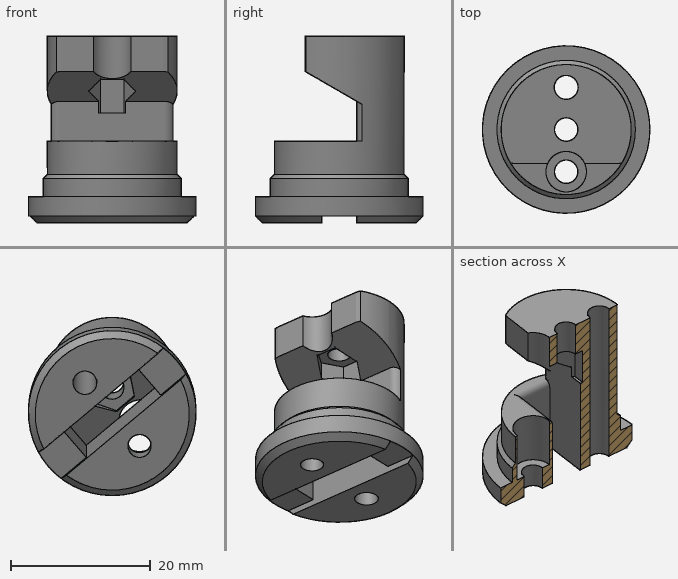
import cadquery as cq
import math

flange_radius = 12.002
flange_top = 3.75
bottom_chamfer = 1.0
collar_radius = 9.9
collar_top = 6.95
body_radius = 9.305
collar_chamfer = collar_radius - body_radius
base_top = 11.7
total_height = 26.7

head_front_y = -4.89
head_front_bottom = 21.65
underside_angle = 30.0
head_break_start_x = 7.32
head_break_end_x = 7.98
gap_half_width = 7.42
gap_corner_radius = 1.5

pocket_length = 14.0
pocket_width = 5.0
pocket_rim_radius = 1.0
slot_depth = 0.95
gap_back_y = pocket_width / 2

hole_spacing = 6.03
hole_diameter = 3.3
rear_hole_diameter = 3.4
counterbore_diameter = 5.8

nut_across_corners = 6.73
nut_bottom = 15.73
nut_top = 21.35


def cylinder(diameter, bottom, top, y=0.0):
    return cq.Workplane("XY", origin=(0, y, bottom)).circle(diameter / 2).extrude(top - bottom)


def turned_body():
    """Flange, collar and full-height cylindrical body."""
    profile = [
        (0, 0),
        (flange_radius - bottom_chamfer, 0),
        (flange_radius, bottom_chamfer),
        (flange_radius, flange_top),
        (collar_radius, flange_top),
        (collar_radius, collar_top - collar_chamfer),
        (body_radius, collar_top),
        (body_radius, total_height),
        (0, total_height),
    ]
    return cq.Workplane("XZ").polyline(profile).close().revolve(360, (0, 0, 0), (0, 1, 0))


def gap_cutter():
    """Space under the sloping head; its back leaves the wall with rounded sides."""
    outside = 2 * flange_radius
    corner_center_y = gap_back_y + gap_corner_radius
    bend = gap_corner_radius * math.sqrt(0.5)
    plan = (
        cq.Workplane("XY", origin=(0, 0, base_top))
        .moveTo(-outside, -outside)
        .lineTo(outside, -outside)
        .lineTo(outside, corner_center_y)
        .lineTo(gap_half_width + gap_corner_radius, corner_center_y)
        .threePointArc((gap_half_width + bend, corner_center_y - bend), (gap_half_width, gap_back_y))
        .lineTo(-gap_half_width, gap_back_y)
        .threePointArc(
            (-gap_half_width - bend, corner_center_y - bend),
            (-gap_half_width - gap_corner_radius, corner_center_y),
        )
        .lineTo(-outside, corner_center_y)
        .close()
        .extrude(total_height - base_top)
    )
    slope = math.tan(math.radians(underside_angle))
    back_bottom = head_front_bottom - (corner_center_y - head_front_y) * slope
    side_profile = [
        (-outside, base_top),
        (-outside, total_height),
        (head_front_y, total_height),
        (head_front_y, head_front_bottom),
        (corner_center_y, back_bottom),
        (corner_center_y, base_top),
    ]
    side = cq.Workplane("YZ").polyline(side_profile).close().extrude(outside, both=True)
    return plan.intersect(side)


def flared_prism(plane, half_width, run):
    """Prism through the pocket depth whose sides flare out in quarter rounds at the base top."""
    radius = pocket_rim_radius
    bend = radius * (1 - math.sqrt(0.5))
    rim = half_width + radius
    return (
        cq.Workplane(plane)
        .moveTo(-half_width, 0)
        .lineTo(half_width, 0)
        .lineTo(half_width, base_top - radius)
        .threePointArc((half_width + bend, base_top - bend), (rim, base_top))
        .lineTo(-rim, base_top)
        .threePointArc((-half_width - bend, base_top - bend), (-half_width, base_top - radius))
        .close()
        .extrude(run, both=True)
    )


def head_edge_break(side):
    """Shallow bevel on one upright front edge of the head; side is 1 or -1."""
    end_y = -math.sqrt(body_radius**2 - head_break_end_x**2)
    return (
        cq.Workplane("XY", origin=(0, 0, base_top))
        .moveTo(side * head_break_start_x, head_front_y)
        .lineTo(side * head_break_end_x, end_y)
        .lineTo(side * body_radius, end_y)
        .lineTo(side * body_radius, head_front_y)
        .close()
        .extrude(total_height - base_top)
    )


def pocket_cutter():
    """Through pocket with a rounded rim at its front and ends, and a flat back in line with the wall."""
    across = flared_prism("XZ", pocket_length / 2, flange_radius)
    along = flared_prism("YZ", pocket_width / 2, flange_radius)
    wall_limit = (
        cq.Workplane("XY", origin=(0, gap_back_y - flange_radius, 0))
        .rect(2 * flange_radius, 2 * flange_radius)
        .extrude(base_top)
    )
    return across.intersect(along).intersect(wall_limit)


def underside_slot():
    return cq.Workplane("XY").rect(2 * flange_radius, pocket_width).extrude(slot_depth)


def nut_seat():
    return (
        cq.Workplane("XY", origin=(0, 0, nut_bottom))
        .polygon(6, nut_across_corners)
        .extrude(nut_top - nut_bottom)
    )


result = turned_body().cut(gap_cutter()).cut(pocket_cutter()).cut(underside_slot()).cut(nut_seat())
for side in (-1, 1):
    result = result.cut(head_edge_break(side))

result = result.cut(cylinder(counterbore_diameter, flange_top, total_height, -hole_spacing))

holes = [(-hole_spacing, hole_diameter), (0, hole_diameter), (hole_spacing, rear_hole_diameter)]
for hole_y, diameter in holes:
    result = result.cut(cylinder(diameter, 0, total_height, hole_y))